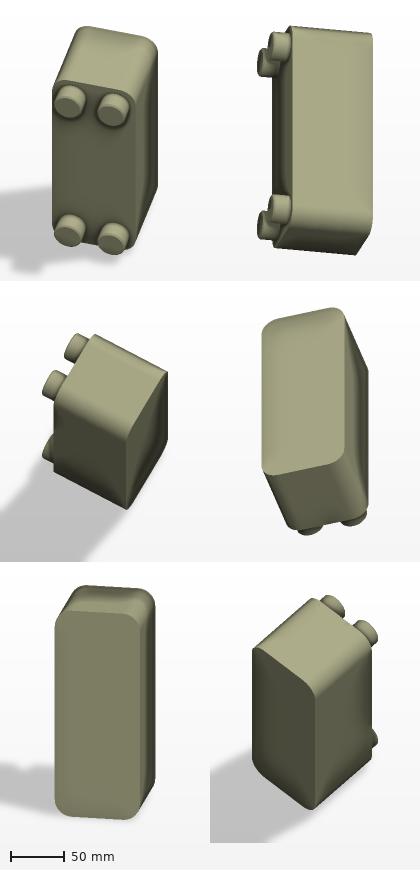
import cadquery as cq

width = 81.0
height = 203.0
corner_radius = 16.2
stack_depth = 77.5
plate_thickness = 4.5
block_count = 3
block_depth = (stack_depth - 2 * plate_thickness) / block_count

port_diameter = 27.0
port_length = 16.5
port_chamfer = 1.5
port_spacing_x = 42.0
port_spacing_z = 164.0


def rounded_slab(front_y, depth):
    """Rounded rectangular slab reaching from front_y towards +Y."""
    return (
        cq.Workplane("XZ", origin=(0, front_y, 0))
        .rect(width, height)
        .extrude(-depth)
        .edges("|Y")
        .fillet(corner_radius)
    )


def port(x, z):
    """Plain cylindrical port standing on the front plate, chamfered at its free end."""
    return (
        cq.Workplane("XZ", origin=(x, 0, z))
        .circle(port_diameter / 2)
        .extrude(port_length)
        .faces("<Y")
        .chamfer(port_chamfer)
    )


front_plate = rounded_slab(0, plate_thickness)
back_plate = rounded_slab(stack_depth - plate_thickness, plate_thickness)

core_blocks = [
    rounded_slab(plate_thickness + index * block_depth, block_depth)
    for index in range(block_count)
]

ports = [
    port(side_x * port_spacing_x / 2, side_z * port_spacing_z / 2)
    for side_x in (-1, 1)
    for side_z in (-1, 1)
]

bodies = [front_plate, *core_blocks, back_plate, *ports]
result = cq.Compound.makeCompound([body.val() for body in bodies])